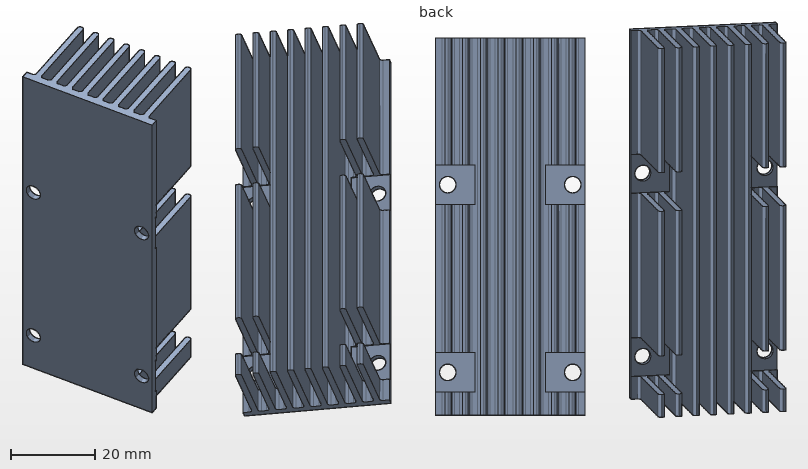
import cadquery as cq

width = 35.6
depth = 22.8
length = 89.9

base_thickness = 2.0
fin_count = 8
fin_pitch = 4.2
fin_thickness = 1.5
tip_radius = 0.7
root_radius = 0.7

hole_diameter = 3.9
hole_spacing_x = 29.75
lower_hole_z = 10.25
hole_spacing_z = 44.7
relief_height = 9.4
relief_floor = 1.6
relieved_fins = 2

hole_levels = [lower_hole_z, lower_hole_z + hole_spacing_z]
fin_centers = [(i - (fin_count - 1) / 2) * fin_pitch for i in range(fin_count)]


def make_base():
    return cq.Workplane("XY").box(width, base_thickness, length, centered=(True, False, False))


def make_fin(center_x):
    """One straight fin, rising from the mounting face plane to the full depth, with a rounded tip."""
    fin = cq.Workplane("XY").box(fin_thickness, depth, length, centered=(True, False, False))
    return fin.edges("|Z and >Y").fillet(tip_radius).translate((center_x, 0, 0))


def make_root_fillet(center_x, side):
    """The concave strip in the corner between one side (-1 or 1) of a fin and the base."""
    corner_x = center_x + side * fin_thickness / 2
    outer_x = corner_x + side * root_radius
    top_y = base_thickness + root_radius
    bulge = root_radius * (1 - 0.5 ** 0.5)
    return (
        cq.Workplane("XY")
        .moveTo(corner_x, base_thickness)
        .lineTo(outer_x, base_thickness)
        .threePointArc((corner_x + side * bulge, base_thickness + bulge), (corner_x, top_y))
        .close()
        .extrude(length)
    )


def make_relief(side, level):
    """Block that clears the outermost fins on one side and skims the base around a hole."""
    inner_x = (fin_centers[-relieved_fins] + fin_centers[-relieved_fins - 1]) / 2
    relief_width = width / 2 - inner_x
    relief = cq.Workplane("XY").box(
        relief_width, depth - relief_floor, relief_height, centered=(True, False, True)
    )
    return relief.translate((side * (inner_x + relief_width / 2), relief_floor, level))


def make_hole(side, level):
    hole = cq.Workplane("XZ").circle(hole_diameter / 2).extrude(-depth)
    return hole.translate((side * hole_spacing_x / 2, 0, level))


result = make_base()
for center_x in fin_centers:
    result = result.union(make_fin(center_x))
    for side in (-1, 1):
        result = result.union(make_root_fillet(center_x, side))

for level in hole_levels:
    for side in (-1, 1):
        result = result.cut(make_relief(side, level))
        result = result.cut(make_hole(side, level))